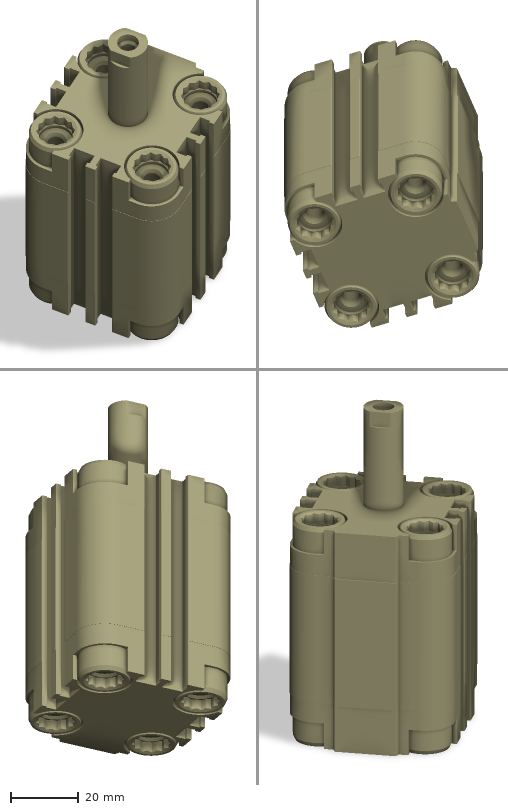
import cadquery as cq
import math

total_height = 100.5
housing_height = 69.5
cap_length = 14.6

housing_width = 50.0
half_width = housing_width / 2
screw_offset = 16.0
corner_radius = 9.2
cap_step = 0.1

bump_height = 1.9
bump_top_width = 18.5
bump_base_width = 19.9
cap_bump_step = 0.4

slot_depth = 5.0
lip_thickness = 1.7
slot_inner_edge = 1.0
slot_outer_edge = 7.8
mouth_inner_edge = 1.7
mouth_outer_edge = 7.2
lip_radius = 0.4

pocket_depth = 8.0
pocket_diameter = 16.5
pocket_opening = 3.2
collar_diameter = 16.0
collar_chamfer_height = 1.3
collar_chamfer_width = 0.65

socket_across_flats = 10.0
socket_depth = 3.6
socket_rim_diameter = 12.9
socket_rim_depth = 0.7
recess_depth = 4.8
screw_hole_mouth = 6.4
countersink_depth = 1.0
screw_hole_diameter = 4.9

rod_diameter = 12.0
rod_insertion = 20.1
rod_flat_width = 10.0
rod_flat_length = 4.6
rod_counterbore_diameter = 6.4
rod_counterbore_depth = 2.6
rod_drill_diameter = 4.9
rod_drill_depth = 14.1
drill_point_angle = 118.0


def cylinder(diameter, bottom, height):
    return cq.Workplane("XY").workplane(offset=bottom).circle(diameter / 2).extrude(height)


def cone(large_diameter, small_diameter, top, depth):
    """Cone or truncated cone around Z that narrows downwards from its top."""
    return cq.Workplane(
        cq.Solid.makeCone(
            large_diameter / 2, small_diameter / 2, depth, cq.Vector(0, 0, top), cq.Vector(0, 0, -1)
        )
    )


def skin(inset, bump_inset, bottom, height):
    """Rounded square block with the bump on its +Y side, set in from the barrel surface."""
    side = half_width - inset
    bump_top = half_width + bump_height - bump_inset
    block = cq.Workplane("XY").rect(2 * side, 2 * side).extrude(height)
    block = block.edges("|Z").fillet(corner_radius - inset)
    bump = (
        cq.Workplane("XY")
        .moveTo(-bump_base_width / 2, 0)
        .lineTo(-bump_base_width / 2, side)
        .lineTo(-bump_top_width / 2, bump_top)
        .lineTo(bump_top_width / 2, bump_top)
        .lineTo(bump_base_width / 2, side)
        .lineTo(bump_base_width / 2, 0)
        .close()
        .extrude(height)
    )
    return block.union(bump).translate((0, 0, bottom))


def slot_pair():
    """Two mirrored T-slots entering from the -Y side, with rounded lips."""
    face = -half_width
    lip_inside = face + lip_thickness
    floor = face + slot_depth
    slot = (
        cq.Workplane("XY")
        .moveTo(mouth_inner_edge - lip_radius, face)
        .radiusArc((mouth_inner_edge, face + lip_radius), -lip_radius)
        .lineTo(mouth_inner_edge, lip_inside)
        .lineTo(slot_inner_edge, lip_inside)
        .lineTo(slot_inner_edge, floor)
        .lineTo(slot_outer_edge, floor)
        .lineTo(slot_outer_edge, lip_inside)
        .lineTo(mouth_outer_edge, lip_inside)
        .lineTo(mouth_outer_edge, face + lip_radius)
        .radiusArc((mouth_outer_edge + lip_radius, face), -lip_radius)
        .close()
        .extrude(housing_height)
    )
    return slot.union(slot.mirror("YZ"))


def corner_pocket():
    """Space around a collar in a +X +Y corner, open to both outer sides; its floor is at Z = 0."""
    opening = (
        cq.Workplane("XY")
        .rect(half_width, half_width, centered=False)
        .extrude(pocket_depth)
        .translate((-pocket_opening, -pocket_opening, 0))
    )
    return cylinder(pocket_diameter, 0, pocket_depth).union(opening)


def collar():
    """Chamfered round collar standing on Z = 0."""
    straight = cylinder(collar_diameter, 0, pocket_depth - collar_chamfer_height)
    top_diameter = collar_diameter - 2 * collar_chamfer_width
    chamfered = cq.Workplane(
        cq.Solid.makeCone(
            collar_diameter / 2,
            top_diameter / 2,
            collar_chamfer_height,
            cq.Vector(0, 0, pocket_depth - collar_chamfer_height),
        )
    )
    return straight.union(chamfered)


def socket():
    """Twelve-point socket with a conical rim, a round recess and a countersunk hole below it."""
    across_corners = socket_across_flats / math.cos(math.pi / 6)
    cavity = cylinder(socket_across_flats, pocket_depth - recess_depth, recess_depth)
    for turn in (0, 30):
        hexagon = cq.Workplane("XY").polygon(6, across_corners).extrude(socket_depth)
        hexagon = hexagon.rotate((0, 0, 0), (0, 0, 1), turn)
        cavity = cavity.union(hexagon.translate((0, 0, pocket_depth - socket_depth)))
    rim = cone(socket_rim_diameter, socket_across_flats, pocket_depth, socket_rim_depth)
    countersink = cone(
        screw_hole_mouth, screw_hole_diameter, pocket_depth - recess_depth, countersink_depth
    )
    return cavity.union(rim).union(countersink)


def place_in_top_corners(tool):
    """Copies of a +X +Y corner tool, turned into the four corners of the top cap."""
    placed = tool.translate((screw_offset, screw_offset, housing_height - pocket_depth))
    return [placed.rotate((0, 0, 0), (0, 0, 1), turn) for turn in (0, 90, 180, 270)]


def at_both_ends(tools):
    """The given top cap tools, followed by their mirror images in the bottom cap."""
    middle = (0, 0, housing_height / 2)
    return tools + [tool.mirror("XY", middle) for tool in tools]


def make_rod():
    bottom = housing_height - rod_insertion
    rod = cylinder(rod_diameter, bottom, total_height - bottom)

    flat_center = (rod_flat_width + rod_diameter) / 2
    for side in (-1, 1):
        cutter = cq.Workplane("XY").box(rod_diameter, rod_diameter, 2 * rod_flat_length)
        rod = rod.cut(cutter.translate((0, side * flat_center, total_height)))

    counterbore_floor = total_height - rod_counterbore_depth
    drill_bottom = total_height - rod_drill_depth
    entry_depth = (rod_counterbore_diameter - rod_drill_diameter) / 2
    point_depth = rod_drill_diameter / 2 / math.tan(math.radians(drill_point_angle / 2))
    rod = rod.cut(cylinder(rod_counterbore_diameter, counterbore_floor, rod_counterbore_depth))
    rod = rod.cut(
        cone(rod_counterbore_diameter, rod_drill_diameter, counterbore_floor, entry_depth)
    )
    rod = rod.cut(cylinder(rod_drill_diameter, drill_bottom, rod_drill_depth))
    return rod.cut(cone(rod_drill_diameter, 0, drill_bottom, point_depth))


def make_housing():
    barrel_length = housing_height - 2 * cap_length
    housing = skin(0, 0, cap_length, barrel_length)
    for bottom in (0, housing_height - cap_length):
        housing = housing.union(skin(cap_step, cap_bump_step, bottom, cap_length))

    for turn in (-90, 0, 90):
        housing = housing.cut(slot_pair().rotate((0, 0, 0), (0, 0, 1), turn))

    for pocket in at_both_ends(place_in_top_corners(corner_pocket())):
        housing = housing.cut(pocket)
    for ring in at_both_ends(place_in_top_corners(collar())):
        housing = housing.union(ring)
    for cavity in at_both_ends(place_in_top_corners(socket())):
        housing = housing.cut(cavity)

    corner_spacing = 2 * screw_offset
    screw_holes = (
        cq.Workplane("XY")
        .rarray(corner_spacing, corner_spacing, 2, 2)
        .circle(screw_hole_diameter / 2)
        .extrude(housing_height)
    )
    housing = housing.cut(screw_holes)

    return housing.cut(cylinder(rod_diameter, housing_height - rod_insertion, rod_insertion))


housing = make_housing()
rod = make_rod()
result = cq.Compound.makeCompound([housing.val(), rod.val()])